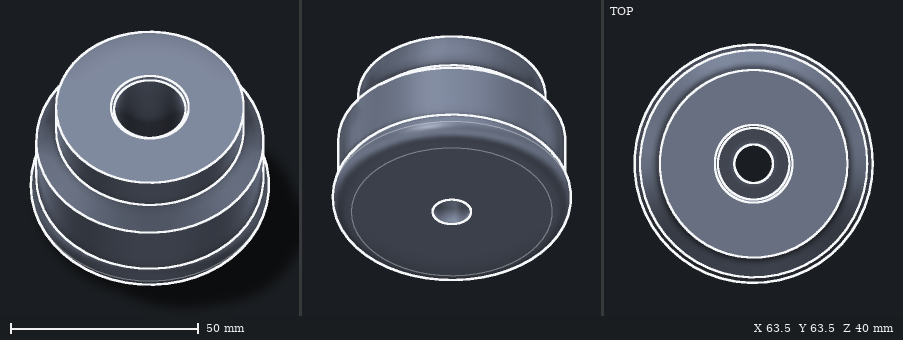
import cadquery as cq
import math

outer_diameter = 63.5
total_height = 40.0

base_thickness = 10.05
base_hole_diameter = 10.2

body_diameter = 60.5
neck_diameter = 50.0
neck_height = 10.0
bore_diameter = 19.05
bore_chamfer = 0.8

outer_radius = outer_diameter / 2
body_radius = body_diameter / 2
neck_radius = neck_diameter / 2
rim_radius = base_thickness / 2
rim_center_radius = outer_radius - rim_radius
shoulder_top = total_height - neck_height
shoulder_bottom = shoulder_top - (body_radius - neck_radius)


def rim_point(angle):
    """Radius and height of the point on the base's round edge at an angle above its mid-height."""
    return (
        rim_center_radius + rim_radius * math.cos(angle),
        rim_radius + rim_radius * math.sin(angle),
    )


def revolve_about_z(profile):
    """Turn a radius-height profile into a solid around the Z axis."""
    return profile.close().revolve(360, (0, 0, 0), (0, 1, 0))


def make_base():
    """Disc with a fully rounded edge and a central through hole."""
    hole_radius = base_hole_diameter / 2
    profile = (
        cq.Workplane("XZ")
        .moveTo(hole_radius, 0)
        .lineTo(rim_center_radius, 0)
        .threePointArc(rim_point(-math.pi / 4), rim_point(0))
        .threePointArc(rim_point(math.pi / 4), rim_point(math.pi / 2))
        .lineTo(hole_radius, base_thickness)
    )
    return revolve_about_z(profile)


def make_housing():
    """Sleeve with a conical shoulder, a neck and a chamfered bore; its lower end fits the base's edge."""
    bore_radius = bore_diameter / 2
    skirt_angle = math.acos((body_radius - rim_center_radius) / rim_radius)
    arc_middle_angle = (math.pi / 2 + skirt_angle) / 2
    profile = (
        cq.Workplane("XZ")
        .moveTo(bore_radius, base_thickness)
        .lineTo(rim_center_radius, base_thickness)
        .threePointArc(rim_point(arc_middle_angle), rim_point(skirt_angle))
        .lineTo(body_radius, shoulder_bottom)
        .lineTo(neck_radius, shoulder_top)
        .lineTo(neck_radius, total_height)
        .lineTo(bore_radius + bore_chamfer, total_height)
        .lineTo(bore_radius, total_height - bore_chamfer)
    )
    return revolve_about_z(profile)


base = make_base()
housing = make_housing()

result = cq.Compound.makeCompound([base.val(), housing.val()])